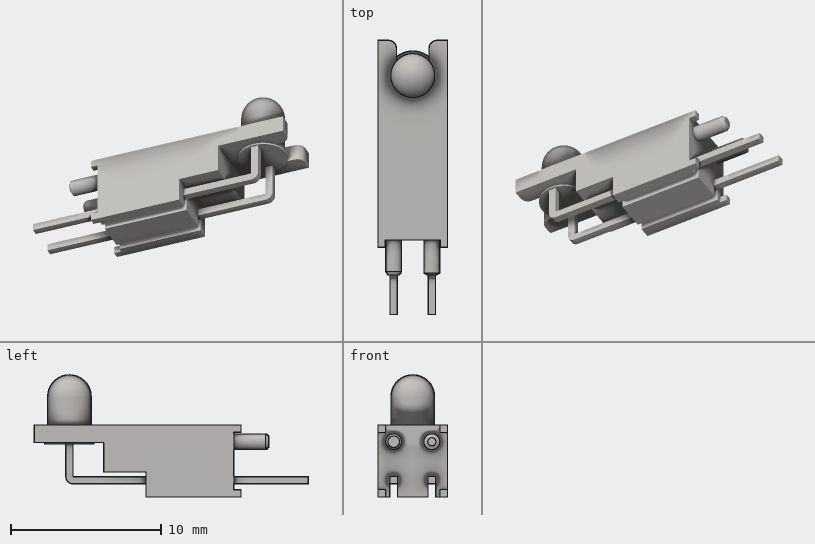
import cadquery as cq


body_width = 4.63
body_length = 13.28
body_height = 4.8
slab_underside = 3.63
slab_start = 8.65
step_underside = 1.66
step_start = 5.84
nub_size = 0.5
mouth_width = 2.15
mouth_radius = 0.55

led_y = 10.93
led_radius = 1.46
led_top = 8.14
flange_radius = 1.65
flange_thickness = 0.11
flange_underside = slab_underside - flange_thickness

pitch = 2.54
side_offsets = (-pitch / 2, pitch / 2)
lead_size = 0.5
lead_underside = 0.88
lead_top = lead_underside + lead_size
lead_reach = 4.96
peg_radius = 0.53
peg_length = 2.33
peg_height = 3.68
left_peg = (side_offsets[0], 0.38, 0.24)
right_peg = (side_offsets[1], 0.27, 0.13)


def make_housing():
    """Stepped block with corner nubs, an open rear mouth and slots for the leads."""
    housing = (
        cq.Workplane("YZ")
        .polyline([
            (0, 0),
            (step_start, 0),
            (step_start, step_underside),
            (slab_start, step_underside),
            (slab_start, slab_underside),
            (body_length, slab_underside),
            (body_length, body_height),
            (0, body_height),
        ])
        .close()
        .extrude(body_width / 2, both=True)
    )

    nub_x = (body_width - nub_size) / 2
    for x in (-nub_x, nub_x):
        for z in (0, body_height - nub_size):
            nub = cq.Workplane("XY").box(nub_size, nub_size, nub_size, centered=(True, True, False))
            housing = housing.union(nub.translate((x, -nub_size / 2, z)))

    slab_thickness = body_height - slab_underside
    mouth_length = body_length - led_y
    mouth = cq.Workplane("XY").box(
        mouth_width, mouth_length, slab_thickness, centered=(True, False, False)
    )
    housing = housing.cut(mouth.translate((0, led_y, slab_underside)))
    for x in (-mouth_width / 2, mouth_width / 2):
        corner = cq.selectors.NearestToPointSelector((x, body_length, body_height - slab_thickness / 2))
        housing = housing.edges("|Z").edges(corner).fillet(mouth_radius)

    led_hole = (
        cq.Workplane("XY", origin=(0, led_y, slab_underside))
        .circle(led_radius)
        .extrude(slab_thickness)
    )
    housing = housing.cut(led_hole)

    for x in side_offsets:
        slot = cq.Workplane("XY").box(lead_size, step_start, lead_top, centered=(True, False, False))
        housing = housing.cut(slot.translate((x, 0, 0)))
    return housing


def make_led():
    """Domed cylinder standing on a flange under the slab, revolved about its axis."""
    dome_base = led_top - led_radius
    dome_mid = led_radius * 0.5 ** 0.5
    return (
        cq.Workplane("XZ", origin=(0, led_y, 0))
        .moveTo(0, flange_underside)
        .lineTo(flange_radius, flange_underside)
        .lineTo(flange_radius, slab_underside)
        .lineTo(led_radius, slab_underside)
        .lineTo(led_radius, dome_base)
        .threePointArc((dome_mid, dome_base + dome_mid), (0, led_top))
        .close()
        .revolve(360, (0, 0, 0), (0, 1, 0))
    )


def make_lead(x):
    """Square wire running back from the front tip, then bent up into the LED."""
    bend_inside = led_y - lead_size / 2
    bend_outside = led_y + lead_size / 2
    bend_mid = lead_size * 0.5 ** 0.5
    return (
        cq.Workplane("YZ", origin=(x, 0, 0))
        .moveTo(-lead_reach, lead_underside)
        .lineTo(bend_inside, lead_underside)
        .threePointArc((bend_inside + bend_mid, lead_top - bend_mid), (bend_outside, lead_top))
        .lineTo(bend_outside, flange_underside)
        .lineTo(bend_inside, flange_underside)
        .lineTo(bend_inside, lead_top)
        .lineTo(-lead_reach, lead_top)
        .close()
        .extrude(lead_size / 2, both=True)
    )


def make_peg(x, tip_radius, taper_length):
    """Round peg with a tapered tip, standing out of the front face."""
    return (
        cq.Workplane("XY", origin=(x, 0, peg_height))
        .polyline([
            (0, 0),
            (peg_radius, 0),
            (peg_radius, taper_length - peg_length),
            (tip_radius, -peg_length),
            (0, -peg_length),
        ])
        .close()
        .revolve(360, (0, 0, 0), (0, 1, 0))
    )


result = make_housing().union(make_led())
for lead_x in side_offsets:
    result = result.union(make_lead(lead_x))
for peg in (left_peg, right_peg):
    result = result.union(make_peg(*peg))